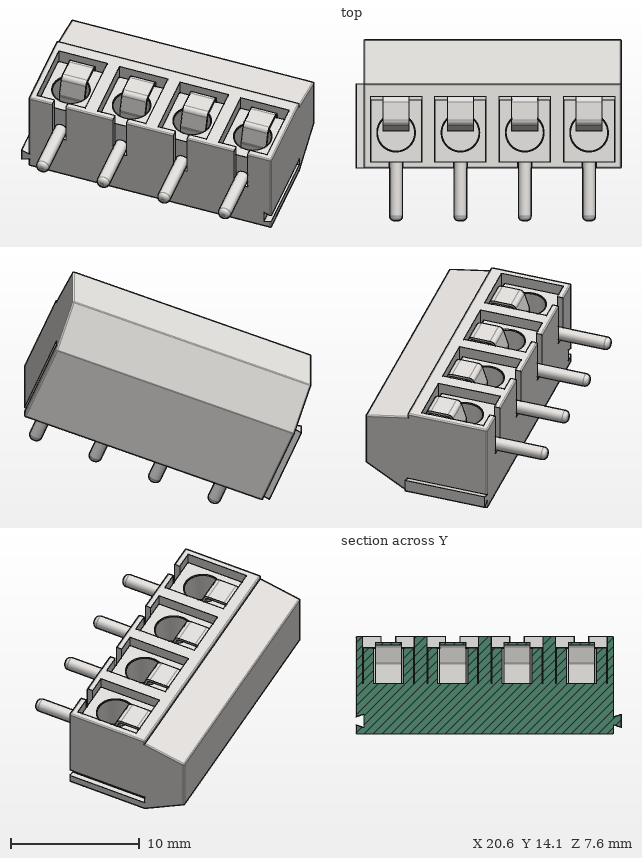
import cadquery as cq

pole_count = 4
total_length = 20.6
body_length = 20.0
pitch = body_length / pole_count
body_depth = 10.0
body_height = 7.6
edge_radius = 0.1

shoulder_y = 6.55
step_height = 0.3
back_top_z = 6.6
back_bottom_z = 2.04

rail_reach = total_length - body_length
rail_length = shoulder_y
rail_center_z = 1.03
rail_tip_width = 1.03
rail_root_width = 0.62

front_wall = 0.47
cavity_width = 4.0
cavity_depth = 5.09
slot_width = 1.11
cavity_floor_z = 3.95
cavity_back_y = front_wall + cavity_depth

block_top_z = 6.72
block_side_gap = 0.05
block_back_gap = 0.27
screw_hole_y = 2.76
screw_hole_radius = 1.45
screw_hole_chamfer = 0.06

tongue_width = 2.04
tongue_thickness = 0.2
tongue_bend_radius = 0.43
tongue_top_z = 7.15
tongue_corner_y = 3.42
tongue_drop_y = 2.9
tongue_drop_z = 5.52

pin_diameter = 1.0
pin_center_z = 4.51
pin_reach = 4.1
pin_tip_radius = 0.37


def box(x_center, width, y_start, y_end, z_start, z_end):
    """Box centred on x_center, given by its limits along Y and Z."""
    return cq.Workplane("XY").box(
        width, y_end - y_start, z_end - z_start, centered=(True, False, False)
    ).translate((x_center, y_start, z_start))


def make_housing():
    outline = [
        (0, 0),
        (shoulder_y, 0),
        (body_depth, back_bottom_z),
        (body_depth, back_top_z),
        (shoulder_y, body_height - step_height),
        (shoulder_y, body_height),
        (0, body_height),
    ]
    housing = cq.Workplane("YZ").polyline(outline).close().extrude(body_length)
    corner = (body_length / 2, shoulder_y, body_height - step_height)
    step_foot = housing.edges(cq.selectors.NearestToPointSelector(corner))
    rounded_edges = housing.edges().objects
    rounded_edges = [edge for edge in rounded_edges if not edge.isSame(step_foot.val())]
    return housing.newObject(rounded_edges).fillet(edge_radius)


def make_dovetail(root_x):
    """Dovetail bar widening towards -X, with a short neck inside root_x."""
    half_tip = rail_tip_width / 2
    half_root = rail_root_width / 2
    neck_x = root_x + edge_radius
    tip_x = root_x - rail_reach
    outline = [
        (neck_x, rail_center_z - half_root),
        (root_x, rail_center_z - half_root),
        (tip_x, rail_center_z - half_tip),
        (tip_x, rail_center_z + half_tip),
        (root_x, rail_center_z + half_root),
        (neck_x, rail_center_z + half_root),
    ]
    return cq.Workplane("XZ").polyline(outline).close().extrude(-rail_length)


def make_cavity(x):
    pocket = box(x, cavity_width, front_wall, cavity_back_y, cavity_floor_z, body_height)
    slot = box(x, slot_width, 0, front_wall, cavity_floor_z, body_height)
    return pocket.union(slot)


def make_block(x):
    width = cavity_width - 2 * block_side_gap
    block_back_y = cavity_back_y - block_back_gap
    block = box(x, width, front_wall, block_back_y, cavity_floor_z, block_top_z)
    top_plane = cq.Workplane("XY", origin=(x, screw_hole_y, block_top_z))
    depth = block_top_z - cavity_floor_z
    hole = top_plane.circle(screw_hole_radius).extrude(-depth)
    countersink_radius = screw_hole_radius + screw_hole_chamfer
    countersink = top_plane.circle(countersink_radius).extrude(-screw_hole_chamfer, taper=45)
    return block.cut(hole).cut(countersink)


def make_tongue(x):
    base_z = cavity_floor_z - tongue_thickness
    outline = [
        (cavity_back_y, base_z),
        (cavity_back_y, tongue_top_z),
        (tongue_corner_y, tongue_top_z),
        (tongue_drop_y, tongue_drop_z),
        (tongue_drop_y, base_z),
    ]
    plane = cq.Plane.YZ(origin=(x - tongue_width / 2, 0, 0))
    outer = cq.Workplane(plane).polyline(outline).close().extrude(tongue_width)
    outer = outer.edges("|X and (not <Z)").fillet(tongue_bend_radius)
    hollow = cq.Workplane(plane).polyline(outline).close().offset2D(-tongue_thickness, "intersection")
    inner = hollow.extrude(tongue_width)
    inner = inner.edges("|X and (not <Z)").fillet(tongue_bend_radius - tongue_thickness)
    return outer.cut(inner)


def make_pin(x):
    plane = cq.Workplane("XZ", origin=(x, front_wall, pin_center_z))
    pin = plane.circle(pin_diameter / 2).extrude(pin_reach + front_wall)
    return pin.faces("<Y").edges().fillet(pin_tip_radius)


result = make_housing().union(make_dovetail(0)).cut(make_dovetail(body_length))

for pole in range(pole_count):
    pole_x = (pole + 0.5) * pitch
    result = result.cut(make_cavity(pole_x))
    for metal_part in (make_block(pole_x), make_tongue(pole_x), make_pin(pole_x)):
        result = result.union(metal_part)